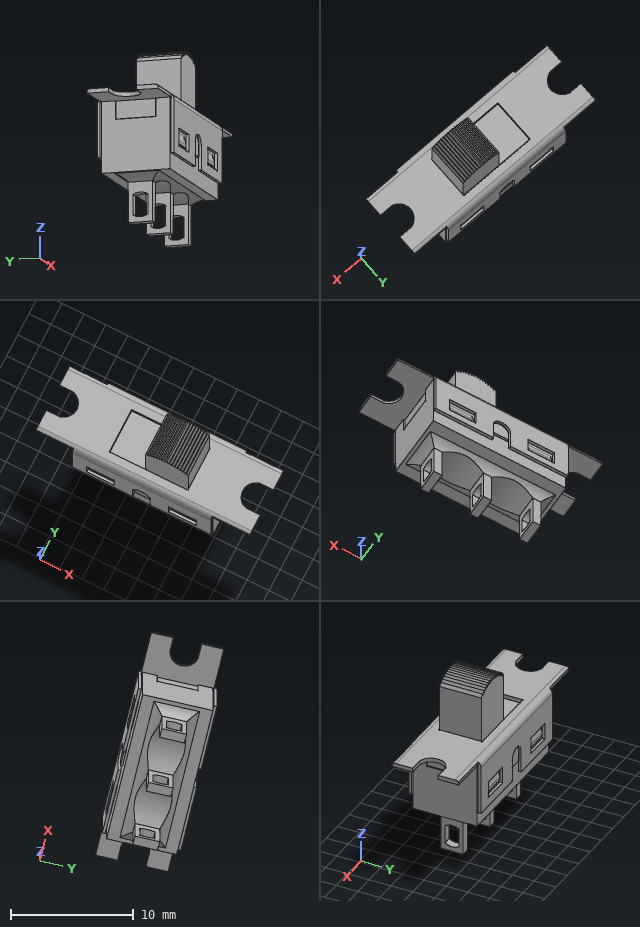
import cadquery as cq
import math


bracket_length = 19.56
bracket_width = 6.6
plate_thickness = 0.37
flange_thickness = 0.25
bend_radius = 0.59
inner_bend_radius = 0.1
inner_width = bracket_width - 2 * flange_thickness
ear_width = inner_width
flange_length = 12.65
flange_bottom = -5.0
ear_slot_width = 2.35
ear_slot_depth = 2.2
ear_slot_radius = 2.4 / 2
window_length = 7.15
window_width = 4.0

latch_spacing = 7.5
latch_window_length = 2.5
latch_window_top = -2.72
latch_window_bottom = -4.19
notch_width = 1.58
notch_top = -2.21

housing_width = 5.87
housing_top = -plate_thickness
housing_bottom = -6.34
end_recess_width = 3.4
end_recess_bottom = -1.9
end_recess_depth = 0.14
latch_length = 2.23
latch_top = -2.9
latch_ridge = -3.6
latch_bottom = -3.9
latch_reach = 0.18
pad_width = 1.47
pad_bottom = -3.93
pad_reach = 0.18

knob_length = 3.9
knob_width = 3.85
knob_x = (window_length - knob_length) / 2
knob_top = 5.09
crown_radius = 2.9
shoulder_z = 4.17
side_ridges = 7
groove_depth = 0.27
groove_position = 2 / 3
ridge_pitch = knob_length / 2 / (side_ridges + groove_position)

terminal_pitch = 4.71
terminal_thickness = 0.76
terminal_width = 2.07
terminal_bottom = -10.3
eye_width = 1.27
eye_top = -7.82
eye_bottom = -9.85
eye_arc_height = 0.2
seal_length = 11.97
seal_width = 3.81
seal_bottom = -6.95
seal_saddle = -6.53
flare_hollow = 0.1


def block(x_size, y_size, z_low, z_high):
    """Box centred on the Z axis between two heights."""
    return cq.Workplane("XY").workplane(offset=z_low).rect(x_size, y_size).extrude(z_high - z_low)


def arched_prism(width, bottom, top, depth):
    """Round-topped upright prism, centred on X and Y and running along Y."""
    radius = width / 2
    return (
        cq.Workplane("XZ")
        .moveTo(-radius, bottom)
        .lineTo(-radius, top - radius)
        .threePointArc((0, top), (radius, top - radius))
        .lineTo(radius, bottom)
        .close()
        .extrude(depth / 2, both=True)
    )


def ear_slot():
    """Round-ended slot, open at the -X end of the plate."""
    end_x = -bracket_length / 2
    tip_x = end_x + ear_slot_depth
    half_width = ear_slot_width / 2
    arc_start_x = tip_x - ear_slot_radius + math.sqrt(ear_slot_radius**2 - half_width**2)
    return (
        cq.Workplane("XY")
        .moveTo(end_x, -half_width)
        .lineTo(arc_start_x, -half_width)
        .threePointArc((tip_x, 0), (arc_start_x, half_width))
        .lineTo(end_x, half_width)
        .close()
        .extrude(-plate_thickness)
    )


def make_bracket():
    channel = (
        block(bracket_length, bracket_width, flange_bottom, 0)
        .edges("|X and >Z")
        .fillet(bend_radius)
    )
    inside = (
        block(bracket_length, inner_width, flange_bottom, -plate_thickness)
        .edges("|X and >Z")
        .fillet(inner_bend_radius)
    )
    sheet = channel.cut(inside)

    plate = block(bracket_length, ear_width, -plate_thickness, 0)
    flanged_stretch = block(flange_length, bracket_width, flange_bottom, 0)
    bracket = sheet.intersect(plate.union(flanged_stretch))

    bracket = bracket.cut(block(window_length, window_width, -plate_thickness, 0))

    slot = ear_slot()
    bracket = bracket.cut(slot).cut(slot.mirror("YZ"))

    latch_window = block(latch_window_length, bracket_width, latch_window_bottom, latch_window_top)
    for side in (-1, 1):
        bracket = bracket.cut(latch_window.translate((side * latch_spacing / 2, 0, 0)))
    return bracket.cut(arched_prism(notch_width, flange_bottom, notch_top, bracket_width))


def make_housing():
    housing = block(flange_length, housing_width, housing_bottom, housing_top)

    recess = block(2 * end_recess_depth, end_recess_width, end_recess_bottom, housing_top)
    for side in (-1, 1):
        housing = housing.cut(recess.translate((side * flange_length / 2, 0, 0)))

    face_y = housing_width / 2
    latch_y = face_y + latch_reach
    latch_pair = (
        cq.Workplane("YZ")
        .polyline([
            (-face_y, latch_top),
            (face_y, latch_top),
            (latch_y, latch_ridge),
            (latch_y, latch_bottom),
            (-latch_y, latch_bottom),
            (-latch_y, latch_ridge),
        ])
        .close()
        .extrude(latch_length / 2, both=True)
    )
    for side in (-1, 1):
        housing = housing.union(latch_pair.translate((side * latch_spacing / 2, 0, 0)))

    pads = arched_prism(pad_width, pad_bottom, notch_top, housing_width + 2 * pad_reach)
    return housing.union(pads)


def crown_height(x):
    """Height of the crown arc at a distance x from the knob centre."""
    return knob_top - crown_radius + math.sqrt(crown_radius**2 - x**2)


def make_slider():
    half_crown = [(0, knob_top)]
    for ridge in range(side_ridges):
        groove_x = (ridge + groove_position) * ridge_pitch
        crest_x = (ridge + 1) * ridge_pitch
        half_crown.append((groove_x, crown_height(groove_x) - groove_depth))
        half_crown.append((crest_x, crown_height(crest_x)))
    half_crown.append((knob_length / 2, shoulder_z))
    half_crown.append((knob_length / 2, housing_top))

    mirrored = [(-x, z) for x, z in reversed(half_crown[1:])]
    knob = (
        cq.Workplane("XZ")
        .polyline(mirrored + half_crown)
        .close()
        .extrude(knob_width / 2, both=True)
    )
    return knob.translate((knob_x, 0, 0))


def make_seal():
    """Flared mound: a lengthwise scalloped profile crossed with a flared section."""
    end_x = terminal_pitch + terminal_thickness / 2
    inner_x = terminal_pitch - terminal_thickness / 2
    near_x = terminal_thickness / 2
    middle_x = terminal_pitch / 2
    half_length = seal_length / 2
    half_width = seal_width / 2
    tip_y = terminal_width / 2
    middle_z = (housing_bottom + seal_bottom) / 2 + flare_hollow
    flare_x = (half_length + end_x) / 2
    flare_y = (half_width + tip_y) / 2

    scallops = (
        cq.Workplane("XZ")
        .moveTo(-half_length, housing_bottom)
        .threePointArc((-flare_x, middle_z), (-end_x, seal_bottom))
        .lineTo(-inner_x, seal_bottom)
        .threePointArc((-middle_x, seal_saddle), (-near_x, seal_bottom))
        .lineTo(near_x, seal_bottom)
        .threePointArc((middle_x, seal_saddle), (inner_x, seal_bottom))
        .lineTo(end_x, seal_bottom)
        .threePointArc((flare_x, middle_z), (half_length, housing_bottom))
        .close()
        .extrude(seal_width / 2, both=True)
    )
    flare = (
        cq.Workplane("YZ")
        .moveTo(-half_width, housing_bottom)
        .threePointArc((-flare_y, middle_z), (-tip_y, seal_bottom))
        .lineTo(tip_y, seal_bottom)
        .threePointArc((flare_y, middle_z), (half_width, housing_bottom))
        .close()
        .extrude(half_length, both=True)
    )
    return scallops.intersect(flare)


def make_terminal_blade():
    eye_half = eye_width / 2
    eye = (
        cq.Workplane("YZ")
        .moveTo(-eye_half, eye_bottom + eye_arc_height)
        .lineTo(-eye_half, eye_top - eye_arc_height)
        .threePointArc((0, eye_top), (eye_half, eye_top - eye_arc_height))
        .lineTo(eye_half, eye_bottom + eye_arc_height)
        .threePointArc((0, eye_bottom), (-eye_half, eye_bottom + eye_arc_height))
        .close()
        .extrude(terminal_thickness / 2, both=True)
    )
    return block(terminal_thickness, terminal_width, terminal_bottom, housing_bottom).cut(eye)


def make_sealed_terminals():
    terminals = make_seal()
    for position in (-1, 0, 1):
        terminals = terminals.union(make_terminal_blade().translate((position * terminal_pitch, 0, 0)))
    return terminals


bracket = make_bracket()
housing = make_housing()
slider = make_slider()
sealed_terminals = make_sealed_terminals()

result = cq.Compound.makeCompound([
    bracket.val(),
    housing.val(),
    slider.val(),
    sealed_terminals.val(),
])